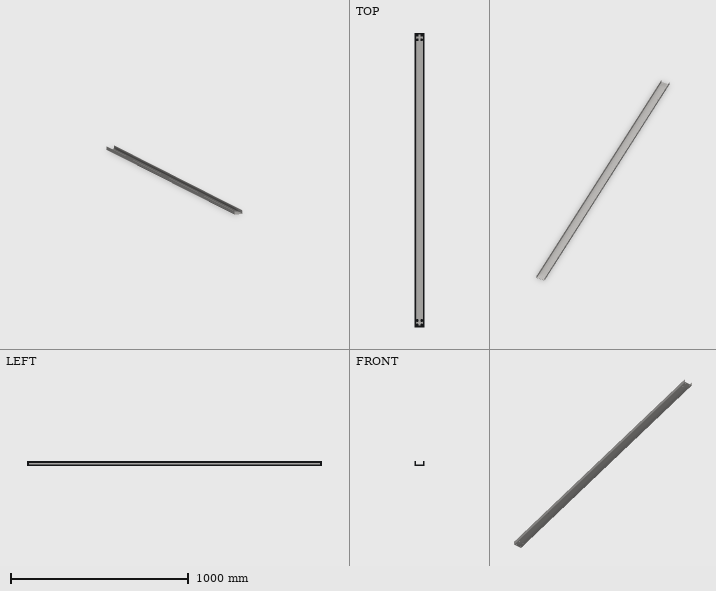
import cadquery as cq

width = 50.0
length = 1650.0
height = 20.0

thickness = 2.0
inner_bend_radius = 1.0
outer_bend_radius = inner_bend_radius + thickness

hole_diameter = 4.2
hole_spacing_x = 25.0
end_to_first_hole = 10.0
end_to_second_hole = 35.0


def rounded_bar(bar_width, floor_level, corner_radius):
    """Full-length bar from floor_level up to the rim, with its two lower long edges rounded."""
    bar_height = height - floor_level
    bar = cq.Workplane("XY").box(bar_width, length, bar_height, centered=(True, True, False))
    return bar.edges("|Y and <Z").fillet(corner_radius).translate((0, 0, floor_level))


def make_channel():
    """U-shaped channel, open at the top and at both ends."""
    outside = rounded_bar(width, 0, outer_bend_radius)
    inside = rounded_bar(width - 2 * thickness, thickness, inner_bend_radius)
    return outside.cut(inside)


def floor_hole_positions():
    """Centres of the floor holes, mirrored about both mid-planes."""
    positions = []
    for end_distance in (end_to_first_hole, end_to_second_hole):
        y = length / 2 - end_distance
        for x_side in (-1, 1):
            for y_side in (-1, 1):
                positions.append((x_side * hole_spacing_x / 2, y_side * y))
    return positions


def make_floor_holes():
    """Cylinders that pass straight through the floor."""
    return (
        cq.Workplane("XY")
        .pushPoints(floor_hole_positions())
        .circle(hole_diameter / 2)
        .extrude(thickness)
    )


result = make_channel().cut(make_floor_holes())